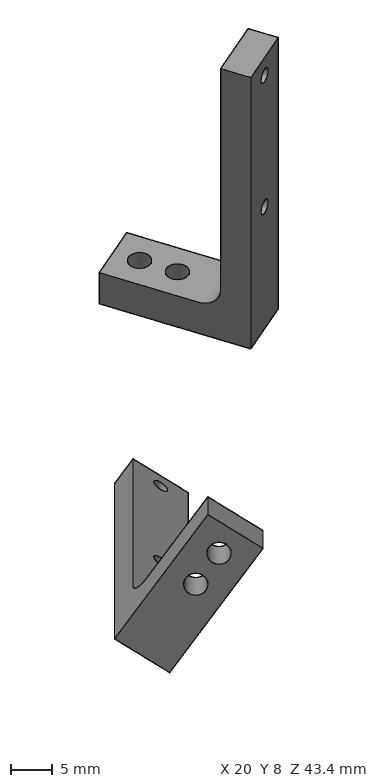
import cadquery as cq

length = 20.0
width = 8.0
height = 43.35

wall_thickness = 4.0
base_thickness = 5.0
inner_radius = 3.05

base_hole_diameter = 2.9
base_hole_end_distance = 3.5
base_hole_spacing = 5.0

wall_hole_diameter = 2.0
wall_hole_end_distance = 2.85
wall_hole_spacing = 20.98

wall_face_x = length - wall_thickness


def make_bracket():
    """L-shaped bracket, centred on Y = 0, with a rounded inner corner."""
    base = cq.Workplane("XY").box(length, width, base_thickness, centered=(False, True, False))
    wall = (
        cq.Workplane("XY")
        .box(wall_thickness, width, height, centered=(False, True, False))
        .translate((wall_face_x, 0, 0))
    )
    inner_corner = cq.selectors.NearestToPointSelector((wall_face_x, 0, base_thickness))
    return base.union(wall).edges(inner_corner).fillet(inner_radius)


def make_base_holes():
    """Vertical cylinders that cut through the base."""
    first_x = base_hole_end_distance
    centers = [(first_x, 0), (first_x + base_hole_spacing, 0)]
    return (
        cq.Workplane("XY")
        .pushPoints(centers)
        .circle(base_hole_diameter / 2)
        .extrude(base_thickness)
    )


def make_wall_holes():
    """Cylinders along X that cut through the wall."""
    upper_z = height - wall_hole_end_distance
    centers = [(0, upper_z), (0, upper_z - wall_hole_spacing)]
    return (
        cq.Workplane("YZ", origin=(wall_face_x, 0, 0))
        .pushPoints(centers)
        .circle(wall_hole_diameter / 2)
        .extrude(wall_thickness)
    )


result = make_bracket().cut(make_base_holes()).cut(make_wall_holes())